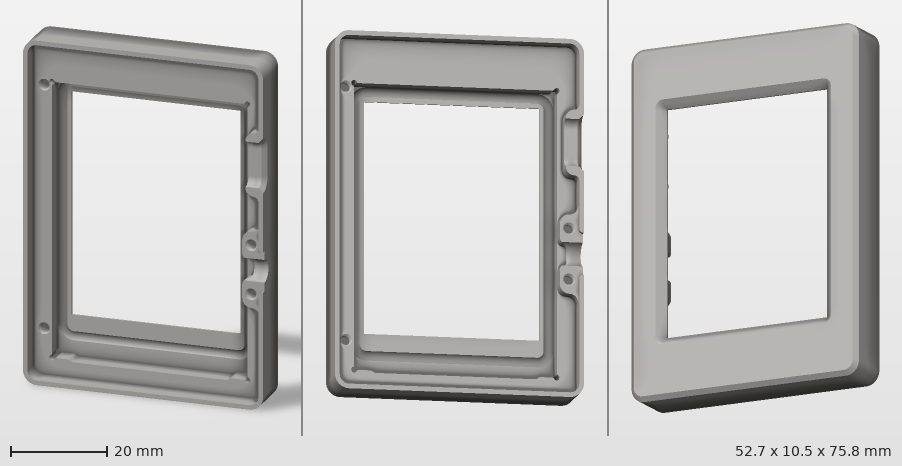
import cadquery as cq


WIDTH, HEIGHT, DEPTH = 52.7, 75.8, 10.51
OUTER_RADIUS = 3.0
FRONT_CHAMFER = 1.0
WALL = 1.0
CAVITY_DEPTH = 4.3
INNER_X = WIDTH / 2 - WALL

POCKET_HALF_WIDTH = 21.45
POCKET_TOP = 27.65
POCKET_BOTTOM = -33.05
POCKET_FLOOR = 8.3
RELIEF_RADIUS = 0.6
RELIEF_BLEND = 0.5
TRAY_DROP = 0.5
TRAY_HALF_WIDTH = 16.8
TRAY_STEP = 1.3

GROOVE_RADIUS = 1.0
GROOVE_HALF_WIDTH = POCKET_HALF_WIDTH - GROOVE_RADIUS
GROOVE_TOP = POCKET_TOP - GROOVE_RADIUS
GROOVE_BOTTOM = -29.18
GROOVE_CORNER_RADIUS = 2.4

WINDOW_WIDTH, WINDOW_HEIGHT = 37.1, 49.1
WINDOW_LIP = 0.4
FLARE_ANGLE = 45

PORT_Z = 16.0
PORT_BOSS_HALF = 6.95
PORT_BOSS_X = 22.5
PORT_BOSS_RADIUS = 1.8
PORT_HALF = 5.0
PORT_DEPTH = 1.9
PORT_RADIUS = 1.8

CLAMP_Z = -7.45
CLAMP_TOP = 1.0
CLAMP_HALF = 8.4
CLAMP_NOSE_RADIUS = 2.0
NOTCH_HALF = 3.35
NOTCH_DEPTH = 1.8
NOTCH_SLOPE_HEIGHT = 2.1
CABLE_RADIUS = 2.5
WALL_GAP_HALF = 4.4
WALL_END_RADIUS = 0.95

THREAD_MAJOR = 2.58
THREAD_MINOR = 2.08
THREAD_PITCH = 0.45
THREAD_TURNS = 6
CLAMP_HOLE_X = 23.4
CLAMP_HOLE_SPACING = 10.8
FLOOR_HOLE_X = -23.18
FLOOR_HOLE_SPACING = 53.6

OVERCUT = 1.0


def plane_at(depth):
    """Sketch plane facing the open rim: local x is X, local y is Z."""
    return cq.Workplane("XZ", origin=(0, depth, 0))


def box(x_range, y_range, z_range):
    lows, highs = zip(x_range, y_range, z_range)
    sizes = [high - low for low, high in zip(lows, highs)]
    return cq.Workplane("XY").box(*sizes, centered=False).translate(lows)


def make_shell():
    body = plane_at(0).rect(WIDTH, HEIGHT).extrude(-DEPTH)
    body = body.edges("|Y").fillet(OUTER_RADIUS)
    body = body.faces(">Y").edges().chamfer(FRONT_CHAMFER)
    cavity = plane_at(0).rect(WIDTH - 2 * WALL, HEIGHT - 2 * WALL).extrude(-CAVITY_DEPTH)
    return body.cut(cavity.edges("|Y").fillet(OUTER_RADIUS - WALL))


def make_pocket():
    depth = POCKET_FLOOR - CAVITY_DEPTH
    step_mid = TRAY_HALF_WIDTH + TRAY_STEP / 2
    step_end = TRAY_HALF_WIDTH + TRAY_STEP
    tray_bottom = POCKET_BOTTOM - TRAY_DROP
    mid_z = POCKET_BOTTOM - TRAY_DROP / 2
    outline = (
        plane_at(CAVITY_DEPTH)
        .moveTo(-POCKET_HALF_WIDTH, POCKET_TOP)
        .lineTo(-POCKET_HALF_WIDTH, POCKET_BOTTOM)
        .lineTo(-step_end, POCKET_BOTTOM)
        .tangentArcPoint((-step_mid, mid_z), relative=False)
        .tangentArcPoint((-TRAY_HALF_WIDTH, tray_bottom), relative=False)
        .lineTo(TRAY_HALF_WIDTH, tray_bottom)
        .tangentArcPoint((step_mid, mid_z), relative=False)
        .tangentArcPoint((step_end, POCKET_BOTTOM), relative=False)
        .lineTo(POCKET_HALF_WIDTH, POCKET_BOTTOM)
        .lineTo(POCKET_HALF_WIDTH, POCKET_TOP)
        .close()
    )
    corners = [
        (x, z)
        for x in (-POCKET_HALF_WIDTH, POCKET_HALF_WIDTH)
        for z in (POCKET_BOTTOM, POCKET_TOP)
    ]
    reliefs = plane_at(CAVITY_DEPTH).pushPoints(corners).circle(RELIEF_RADIUS).extrude(-depth)
    pocket = outline.extrude(-depth).union(reliefs)
    reach = RELIEF_RADIUS + RELIEF_BLEND / 2
    for x, z in corners:
        around_corner = cq.selectors.BoxSelector(
            (x - reach, CAVITY_DEPTH, z - reach),
            (x + reach, POCKET_FLOOR, z + reach),
        )
        pocket = pocket.edges("|Y").edges(around_corner).fillet(RELIEF_BLEND)
    return pocket


def make_groove():
    height = GROOVE_TOP - GROOVE_BOTTOM
    path_block = (
        plane_at(POCKET_FLOOR)
        .center(0, (GROOVE_TOP + GROOVE_BOTTOM) / 2)
        .rect(2 * GROOVE_HALF_WIDTH, height)
        .extrude(-GROOVE_RADIUS)
        .edges("|Y")
        .fillet(GROOVE_CORNER_RADIUS)
    )
    path = path_block.faces("<Y").wires()
    start = (GROOVE_HALF_WIDTH, POCKET_FLOOR, 0)
    profile = (
        cq.Workplane("XY", origin=start)
        .moveTo(-GROOVE_RADIUS, 0)
        .radiusArc((0, GROOVE_RADIUS), GROOVE_RADIUS)
        .radiusArc((GROOVE_RADIUS, 0), GROOVE_RADIUS)
        .close()
    )
    return profile.sweep(path, clean=False)


def make_window():
    lip_depth = POCKET_FLOOR + WINDOW_LIP
    opening = plane_at(POCKET_FLOOR).rect(WINDOW_WIDTH, WINDOW_HEIGHT).extrude(-WINDOW_LIP)
    flare = (
        plane_at(lip_depth)
        .rect(WINDOW_WIDTH, WINDOW_HEIGHT)
        .extrude(lip_depth - DEPTH, taper=-FLARE_ANGLE)
    )
    return opening.union(flare)


def make_port_boss():
    blend = INNER_X - PORT_BOSS_X - PORT_BOSS_RADIUS
    top = PORT_Z + PORT_BOSS_HALF
    bottom = PORT_Z - PORT_BOSS_HALF
    nose_x = PORT_BOSS_X + PORT_BOSS_RADIUS
    wall_x = INNER_X + WALL / 2
    return (
        plane_at(0)
        .moveTo(wall_x, top + blend)
        .lineTo(INNER_X, top + blend)
        .radiusArc((nose_x, top), blend)
        .radiusArc((PORT_BOSS_X, top - PORT_BOSS_RADIUS), -PORT_BOSS_RADIUS)
        .lineTo(PORT_BOSS_X, bottom + PORT_BOSS_RADIUS)
        .radiusArc((nose_x, bottom), -PORT_BOSS_RADIUS)
        .radiusArc((INNER_X, bottom - blend), blend)
        .lineTo(wall_x, bottom - blend)
        .close()
        .extrude(-CAVITY_DEPTH)
    )


def make_port_opening():
    height = PORT_DEPTH + OVERCUT
    profile_center = (PORT_DEPTH - OVERCUT) / 2
    start_x = PORT_BOSS_X - OVERCUT
    opening = (
        cq.Workplane("YZ", origin=(start_x, profile_center, PORT_Z))
        .rect(height, 2 * PORT_HALF)
        .extrude(INNER_X - start_x)
        .edges("|X and >Y")
        .fillet(PORT_RADIUS)
    )
    flare = opening.faces(">X").wires().toPending().workplane().extrude(WALL, taper=-FLARE_ANGLE)
    return opening.union(flare)


def make_clamp_boss():
    nose_x = POCKET_HALF_WIDTH + CLAMP_NOSE_RADIUS
    blend = INNER_X - nose_x
    notch_x = POCKET_HALF_WIDTH + NOTCH_DEPTH
    notch_mid_x = POCKET_HALF_WIDTH + NOTCH_DEPTH / 2
    notch_inner = NOTCH_HALF - NOTCH_SLOPE_HEIGHT
    notch_mid = NOTCH_HALF - NOTCH_SLOPE_HEIGHT / 2
    notch_radius = (NOTCH_DEPTH**2 + NOTCH_SLOPE_HEIGHT**2) / (4 * NOTCH_DEPTH)
    wall_x = INNER_X + WALL / 2
    half = (
        plane_at(CLAMP_TOP)
        .center(0, CLAMP_Z)
        .moveTo(wall_x, 0)
        .lineTo(wall_x, CLAMP_HALF + blend)
        .lineTo(INNER_X, CLAMP_HALF + blend)
        .radiusArc((nose_x, CLAMP_HALF), blend)
        .radiusArc((POCKET_HALF_WIDTH, CLAMP_HALF - CLAMP_NOSE_RADIUS), -CLAMP_NOSE_RADIUS)
        .lineTo(POCKET_HALF_WIDTH, NOTCH_HALF)
        .radiusArc((notch_mid_x, notch_mid), -notch_radius)
        .radiusArc((notch_x, notch_inner), notch_radius)
        .lineTo(notch_x, 0)
        .close()
        .extrude(CLAMP_TOP - CAVITY_DEPTH)
    )
    return half.union(half.mirror("XY", (0, 0, CLAMP_Z)))


def make_wall_gap():
    gap = box(
        (INNER_X, WIDTH / 2 + OVERCUT),
        (0, CLAMP_TOP),
        (CLAMP_Z - WALL_GAP_HALF, CLAMP_Z + WALL_GAP_HALF),
    )
    entry = box(
        (INNER_X - OVERCUT, INNER_X),
        (0, CLAMP_TOP),
        (CLAMP_Z - WALL_GAP_HALF - OVERCUT, CLAMP_Z + WALL_GAP_HALF + OVERCUT),
    )
    margin = WALL / 4
    blend_edges = cq.selectors.BoxSelector(
        (INNER_X - margin, -OVERCUT, CLAMP_Z - WALL_GAP_HALF - margin),
        (INNER_X + margin, CLAMP_TOP + OVERCUT, CLAMP_Z + WALL_GAP_HALF + margin),
    )
    return gap.union(entry).edges("|Y").edges(blend_edges).fillet(WALL_END_RADIUS)


def make_cable_channel():
    return (
        cq.Workplane("YZ", origin=(POCKET_HALF_WIDTH, CLAMP_TOP, CLAMP_Z))
        .circle(CABLE_RADIUS)
        .extrude(WIDTH / 2 - POCKET_HALF_WIDTH)
    )


def make_threaded_hole(x, z, depth):
    """Blind threaded hole, its thread simplified to a stack of V-shaped rings."""
    half_pitch = THREAD_PITCH / 2
    profile = cq.Workplane("XY").lineTo(THREAD_MAJOR / 2, 0)
    for turn in range(THREAD_TURNS):
        crest = turn * THREAD_PITCH + half_pitch
        profile = profile.lineTo(THREAD_MINOR / 2, crest)
        profile = profile.lineTo(THREAD_MAJOR / 2, crest + half_pitch)
    profile = profile.lineTo(0, THREAD_TURNS * THREAD_PITCH).close()
    return profile.revolve(360, (0, 0), (0, 1)).translate((x, depth, z))


result = make_shell().union(make_port_boss()).union(make_clamp_boss())
result = result.cut(make_pocket()).cut(make_window())
result = result.cut(make_port_opening()).cut(make_wall_gap()).cut(make_cable_channel())
for side in (-1, 1):
    clamp_hole_z = CLAMP_Z + side * CLAMP_HOLE_SPACING / 2
    floor_hole_z = side * FLOOR_HOLE_SPACING / 2
    result = result.cut(make_threaded_hole(CLAMP_HOLE_X, clamp_hole_z, CLAMP_TOP))
    result = result.cut(make_threaded_hole(FLOOR_HOLE_X, floor_hole_z, CAVITY_DEPTH))
result = result.cut(make_groove(), clean=False)